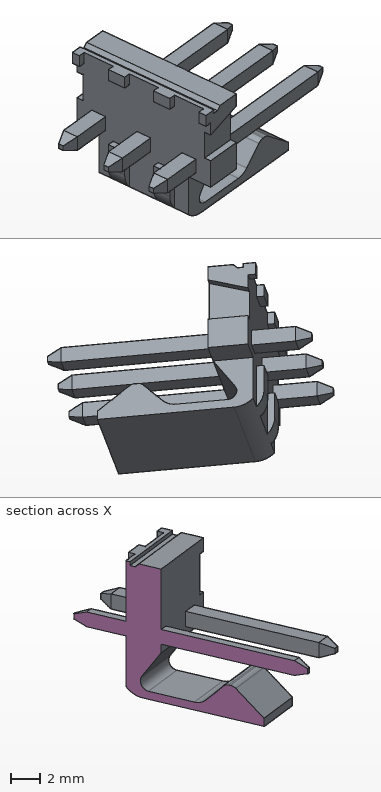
import cadquery as cq
import math


pin_count = 3
pin_pitch = 3.96
pin_width = 1.21
pin_height = 1.14
pin_tip_size = 0.4
pin_taper_length = 1.03
pin_front_reach = 4.08
pin_length = 18.29
pin_axis_z = 4.92

wall_width = 11.73
wall_thickness = 2.78
wall_bottom_z = 3.73
wall_top_z = 10.01

notch_depth = 0.52
notch_floor_z = wall_top_z - 4.07
notch_roof_front_z = wall_top_z - 1.92
notch_roof_back_z = wall_top_z - 1.02

groove_depth = 0.28
groove_front_y = 0.34
groove_floor_back_y = 0.73
groove_top_back_y = 1.03

standoff_depth = 0.51
standoff_width = 1.43
lug_height = 0.91
end_lug_width = 0.63

latch_width = 7.87
latch_end_y = 10.80
latch_thickness = 0.636
heel_radius = 1.83
root_corner_y = 0.547
root_radius = 0.63
hook_top_z = 2.52
hook_rise_angle = math.radians(38.3)
hook_fall_angle = math.radians(45)
hook_fall_top_y = 7.777
hook_top_radius = 0.66
hook_base_radius = 1.26


def span_positions(count):
    """X positions of `count` items spaced at the pin pitch about the centre."""
    return [(i - (count - 1) / 2) * pin_pitch for i in range(count)]


def box_between(x_range, y_range, z_range):
    size = [high - low for low, high in (x_range, y_range, z_range)]
    corner = (x_range[0], y_range[0], z_range[0])
    return cq.Workplane("XY").box(*size, centered=False).translate(corner)


def extrude_along_x(profile, width, x_center=0):
    """Extrude a closed list of (y, z) points symmetrically about x_center."""
    plane = cq.Workplane("YZ", origin=(x_center, 0, 0))
    return plane.polyline(profile).close().extrude(width / 2, both=True)


def round_corner(solid, corner, radius):
    """Fillet the X-direction edge that passes through the (y, z) corner."""
    edge = cq.selectors.NearestToPointSelector((0, *corner))
    return solid.edges("|X").edges(edge).fillet(radius)


def make_wall():
    wall = box_between(
        (-wall_width / 2, wall_width / 2), (0, wall_thickness), (wall_bottom_z, wall_top_z)
    )
    notch_profile = [
        (0, notch_floor_z),
        (wall_thickness, notch_floor_z),
        (wall_thickness, notch_roof_back_z),
        (0, notch_roof_front_z),
    ]
    for end_x in (-wall_width / 2, wall_width / 2):
        wall = wall.cut(extrude_along_x(notch_profile, 2 * notch_depth, end_x))

    groove_floor_z = wall_top_z - groove_depth
    groove_profile = [
        (groove_front_y, wall_top_z),
        (groove_front_y, groove_floor_z),
        (groove_floor_back_y, groove_floor_z),
        (groove_top_back_y, wall_top_z),
    ]
    return wall.cut(extrude_along_x(groove_profile, wall_width))


def add_lugs(body):
    lug_y = (-standoff_depth, 0)
    lug_z = (wall_top_z - lug_height, wall_top_z)
    end_x = wall_width / 2
    lug_spans = [(-end_x, end_lug_width - end_x), (end_x - end_lug_width, end_x)]
    for x in span_positions(pin_count - 1):
        lug_spans.append((x - standoff_width / 2, x + standoff_width / 2))
    for lug_x in lug_spans:
        body = body.union(box_between(lug_x, lug_y, lug_z))
    return body


def make_foot():
    """Foot and hooked latch, relieved to the wall face except at the ribs."""
    heel = (-standoff_depth, 0)
    root = (root_corner_y, latch_thickness)
    hook_rise = hook_top_z - latch_thickness
    hook_base = (hook_fall_top_y - hook_rise / math.tan(hook_fall_angle), latch_thickness)
    hook_front = (hook_fall_top_y, hook_top_z)
    hook_back = (latch_end_y - hook_rise / math.tan(hook_rise_angle), hook_top_z)
    profile = [
        heel,
        (-standoff_depth, wall_bottom_z),
        (wall_thickness, wall_bottom_z),
        root,
        hook_base,
        hook_front,
        hook_back,
        (latch_end_y, latch_thickness),
        (latch_end_y, 0),
    ]
    foot = extrude_along_x(profile, latch_width)
    foot = round_corner(foot, heel, heel_radius)
    foot = round_corner(foot, root, root_radius)
    foot = round_corner(foot, hook_base, hook_base_radius)
    foot = round_corner(foot, hook_front, hook_top_radius)
    foot = round_corner(foot, hook_back, hook_top_radius)

    relief_y = (-standoff_depth, 0)
    relief_z = (0, wall_bottom_z)
    relief = box_between((-latch_width / 2, latch_width / 2), relief_y, relief_z)
    for x in span_positions(pin_count - 1):
        rib_x = (x - standoff_width / 2, x + standoff_width / 2)
        relief = relief.cut(box_between(rib_x, relief_y, relief_z))
    return foot.cut(relief)


def make_pin_tip(base_y, tip_y, x):
    """Four-sided taper from the full pin section at base_y to the tip at tip_y."""
    direction = math.copysign(1, tip_y - base_y)
    base = cq.Plane(origin=(x, base_y, pin_axis_z), xDir=(1, 0, 0), normal=(0, direction, 0))
    return (
        cq.Workplane(base)
        .rect(pin_width, pin_height)
        .workplane(offset=pin_taper_length)
        .rect(pin_tip_size, pin_tip_size)
        .loft(ruled=True)
    )


def make_pin(x):
    front_y = -pin_front_reach
    back_y = front_y + pin_length
    shank_front_y = front_y + pin_taper_length
    shank_back_y = back_y - pin_taper_length
    shank = box_between(
        (x - pin_width / 2, x + pin_width / 2),
        (shank_front_y, shank_back_y),
        (pin_axis_z - pin_height / 2, pin_axis_z + pin_height / 2),
    )
    front_tip = make_pin_tip(shank_front_y, front_y, x)
    back_tip = make_pin_tip(shank_back_y, back_y, x)
    return shank.union(front_tip).union(back_tip)


result = add_lugs(make_wall()).union(make_foot())
for pin_x in span_positions(pin_count):
    result = result.union(make_pin(pin_x))